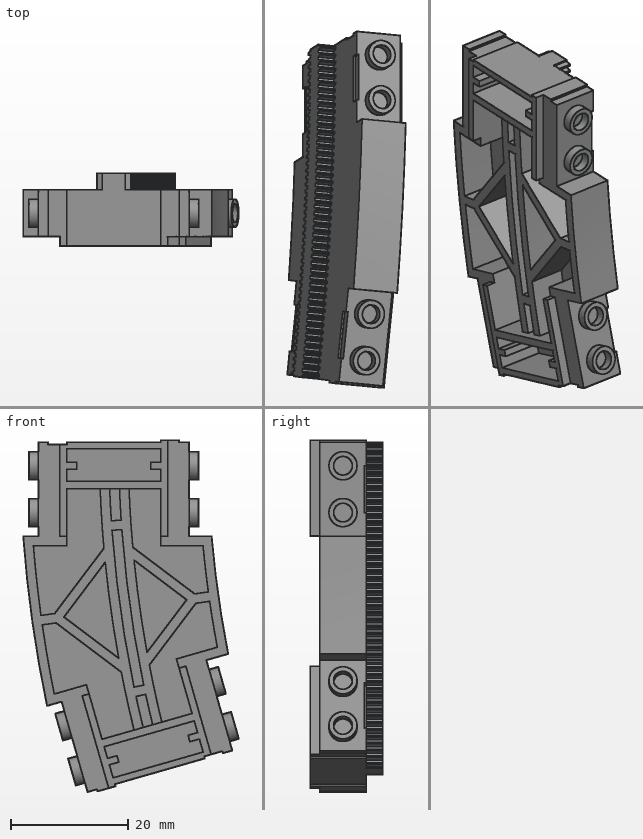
import cadquery as cq
import math

ARC_RADIUS = 203.45
ARC_ANGLE = 16.0
MID_ANGLE = ARC_ANGLE / 2

BODY_DEPTH = 8.0
RIM_HEIGHT = 1.6
RACK_HEIGHT = 2.8
FLOOR = 1.6
POCKET_DEPTH = BODY_DEPTH - FLOOR

WALL = 1.6
BODY_HALF_WIDTH = 16.0
SHOULDER = 16.0
RIB = 1.6
RAIL_GAP_HALF = 0.85
RAIL_OUTER_HALF = RAIL_GAP_HALF + RIB
DIAMOND_HALF = 11.7
CROSS_TIE_FROM_END = 14.15

FRAME_HALF_WIDTH = 12.85
RIM_HALF_WIDTH = 9.2
OPENING_HALF_WIDTH = 8.0
STEP_OUTER = 11.15
STEP = 0.35
END_BAR = 1.15
CROSSBAR_OUTER = 6.65
CROSSBAR_INNER = 8.0
LUG_LENGTH = 1.7
LUG_WIDTH = 1.15

FIRST_PIN_FROM_END = 4.0
PIN_PITCH = 8.0
PIN_DIAMETER = 4.8
PIN_HOLE_DIAMETER = 3.2
PIN_LENGTH = 1.6
PIN_HOLE_DEPTH = PIN_LENGTH
PINS_FROM_END = (FIRST_PIN_FROM_END, FIRST_PIN_FROM_END + PIN_PITCH)

NOTCH_DEPTH = 0.35
NOTCH_WIDTH = 1.6

TEETH = 47
RACK_ROOT_HALF = 2.0
TOOTH_HEIGHT = 0.9
TOOTH_ROOT_SHARE = 0.65
TOOTH_TIP_SHARE = 0.22


def on_arc(side, angle):
    """Point `side` towards the arc centre from the centre line, at `angle` degrees from the start."""
    turn = math.radians(angle)
    radius = ARC_RADIUS - side
    return (ARC_RADIUS - radius * math.cos(turn), -radius * math.sin(turn))


def face_plane(back):
    """Sketch plane whose extrusions run from Y = back towards the front."""
    return cq.Workplane("XZ", origin=(0, back, 0))


def sector(side_a, side_b, back, depth):
    """Curved band between two offsets from the centre line, over the whole arc."""
    return (
        face_plane(back)
        .moveTo(*on_arc(side_a, 0))
        .threePointArc(on_arc(side_a, MID_ANGLE), on_arc(side_a, ARC_ANGLE))
        .lineTo(*on_arc(side_b, ARC_ANGLE))
        .threePointArc(on_arc(side_b, MID_ANGLE), on_arc(side_b, 0))
        .close()
        .extrude(depth)
    )


def turned(shape, angle):
    """Shape moved along the arc by `angle` degrees."""
    return shape.rotate((ARC_RADIUS, 0, 0), (ARC_RADIUS, 1, 0), -angle)


def both_ends(shape):
    """Shape of the start frame together with its copy, turned end for end, on the far frame."""
    far = turned(shape.rotate((0, 0, 0), (0, 1, 0), 180), ARC_ANGLE)
    return shape.union(far)


def box(side, from_end, back, depth):
    """Box in the start frame spanning the (low, high) pairs `side` and `from_end`."""
    width = side[1] - side[0]
    length = from_end[1] - from_end[0]
    return (
        face_plane(back)
        .center(side[0] + width / 2, -from_end[0] - length / 2)
        .rect(width, length)
        .extrude(depth)
    )


def strip(half_width, from_end, back, depth):
    """Box centred across the start frame."""
    return box((-half_width, half_width), from_end, back, depth)


def curved_block(half_width, from_end, back, depth):
    """Curved band that stops square at `from_end` from both ends."""
    ends = strip(2 * BODY_HALF_WIDTH, (-SHOULDER, from_end), back, depth)
    return sector(-half_width, half_width, back, depth).cut(both_ends(ends))


def end_frame():
    """Solid frame block with its raised rim and the stepped, interlocking end face."""
    inner = SHOULDER + WALL
    block = strip(FRAME_HALF_WIDTH, (0, inner), BODY_DEPTH, BODY_DEPTH)
    rim = strip(RIM_HALF_WIDTH, (0, SHOULDER), 0, RIM_HEIGHT)
    frame = block.union(rim)
    full_depth = BODY_DEPTH + RIM_HEIGHT
    recess = box((-STEP_OUTER, -OPENING_HALF_WIDTH), (0, STEP), BODY_DEPTH, full_depth)
    tongue = box((OPENING_HALF_WIDTH, RIM_HALF_WIDTH), (-STEP, 0), BODY_DEPTH, full_depth)
    tongue_side = box((RIM_HALF_WIDTH, STEP_OUTER), (-STEP, 0), BODY_DEPTH, BODY_DEPTH)
    return frame.cut(recess).union(tongue).union(tongue_side)


def end_window():
    """Pocket behind the end face, with a lug level with the first pin reaching in from each side."""
    depth = POCKET_DEPTH + RIM_HEIGHT
    window = strip(OPENING_HALF_WIDTH, (END_BAR, CROSSBAR_OUTER), POCKET_DEPTH, depth)
    lug_span = (FIRST_PIN_FROM_END - LUG_WIDTH / 2, FIRST_PIN_FROM_END + LUG_WIDTH / 2)
    lugs = strip(OPENING_HALF_WIDTH, lug_span, POCKET_DEPTH, depth).cut(
        strip(OPENING_HALF_WIDTH - LUG_LENGTH, lug_span, POCKET_DEPTH, depth)
    )
    return window.cut(lugs)


def side_cylinders(diameter, inner_side, outer_side):
    """Cylinders along X at every pin position, on both sides of the start frame."""
    length = outer_side - inner_side
    cylinders = cq.Workplane("XY")
    for from_end in PINS_FROM_END:
        for start in (-outer_side, inner_side):
            base = cq.Workplane("YZ", origin=(start, BODY_DEPTH / 2, -from_end))
            cylinders = cylinders.union(base.circle(diameter / 2).extrude(length))
    return cylinders


def edge_notches():
    """Notch cutters for both back side edges of the start frame."""
    notches = cq.Workplane("XY")
    for inner in (-FRAME_HALF_WIDTH, FRAME_HALF_WIDTH - NOTCH_WIDTH):
        side = (inner, inner + NOTCH_WIDTH)
        notches = notches.union(box(side, PINS_FROM_END, BODY_DEPTH, NOTCH_DEPTH))
    return notches


def lattice():
    """Two curved rails with cross ties, inside a diamond of ribs held by two spokes."""
    ribs = sector(RAIL_GAP_HALF, RAIL_OUTER_HALF, POCKET_DEPTH, POCKET_DEPTH)
    ribs = ribs.union(sector(-RAIL_OUTER_HALF, -RAIL_GAP_HALF, POCKET_DEPTH, POCKET_DEPTH))

    tie = strip(RAIL_OUTER_HALF - RIB / 2, (-RIB / 2, RIB / 2), POCKET_DEPTH, POCKET_DEPTH)
    tie_angle = math.degrees(CROSS_TIE_FROM_END / ARC_RADIUS)
    for angle in (tie_angle, ARC_ANGLE - tie_angle):
        ribs = ribs.union(turned(tie, angle))

    diamond_side = DIAMOND_HALF * math.sqrt(2)
    diamond = (
        face_plane(POCKET_DEPTH)
        .rect(diamond_side + RIB, diamond_side + RIB)
        .rect(diamond_side - RIB, diamond_side - RIB)
        .extrude(POCKET_DEPTH)
        .rotate((0, 0, 0), (0, 1, 0), 45)
    )
    spokes = strip(BODY_HALF_WIDTH, (-RIB / 2, RIB / 2), POCKET_DEPTH, POCKET_DEPTH).cut(
        strip(DIAMOND_HALF, (-RIB / 2, RIB / 2), POCKET_DEPTH, POCKET_DEPTH)
    )
    between_rails = sector(-RAIL_GAP_HALF, RAIL_GAP_HALF, POCKET_DEPTH, POCKET_DEPTH)
    return ribs.union(turned(diamond, MID_ANGLE).cut(between_rails)).union(turned(spokes, MID_ANGLE))


def body_pockets():
    """Hollow of the curved body, open to both frames, less the lattice standing in it."""
    depth = POCKET_DEPTH + RIM_HEIGHT
    hollow = curved_block(BODY_HALF_WIDTH - WALL, SHOULDER + WALL, POCKET_DEPTH, depth)
    throat = strip(OPENING_HALF_WIDTH, (CROSSBAR_INNER, SHOULDER + 2 * WALL), POCKET_DEPTH, depth)
    return hollow.union(both_ends(throat)).cut(lattice())


def rack_flank(side):
    """Toothed edge of the rack, from start to end; `side` is -1 or 1."""
    pitch = ARC_ANGLE / TEETH
    root = side * RACK_ROOT_HALF
    tip = side * (RACK_ROOT_HALF + TOOTH_HEIGHT)
    points = [on_arc(root, 0)]
    for tooth in range(TEETH):
        middle = (tooth + 0.5) * pitch
        root_half = pitch * TOOTH_ROOT_SHARE / 2
        tip_half = pitch * TOOTH_TIP_SHARE / 2
        points += [
            on_arc(root, middle - root_half),
            on_arc(tip, middle - tip_half),
            on_arc(tip, middle + tip_half),
            on_arc(root, middle + root_half),
        ]
    points.append(on_arc(root, ARC_ANGLE))
    return points


def rack():
    """Curved rack with teeth along both edges."""
    outline = rack_flank(-1) + rack_flank(1)[::-1]
    return face_plane(BODY_DEPTH + RACK_HEIGHT).polyline(outline).close().extrude(RACK_HEIGHT + FLOOR / 2)


pin_tip = FRAME_HALF_WIDTH + PIN_LENGTH
pins = side_cylinders(PIN_DIAMETER, FRAME_HALF_WIDTH - WALL, pin_tip)
pin_holes = side_cylinders(PIN_HOLE_DIAMETER, pin_tip - PIN_HOLE_DEPTH, pin_tip)

result = curved_block(BODY_HALF_WIDTH, SHOULDER, BODY_DEPTH, BODY_DEPTH)
result = result.union(both_ends(end_frame().union(pins)))
result = result.cut(both_ends(end_window().union(pin_holes).union(edge_notches())))
result = result.cut(body_pockets())
result = result.union(rack())